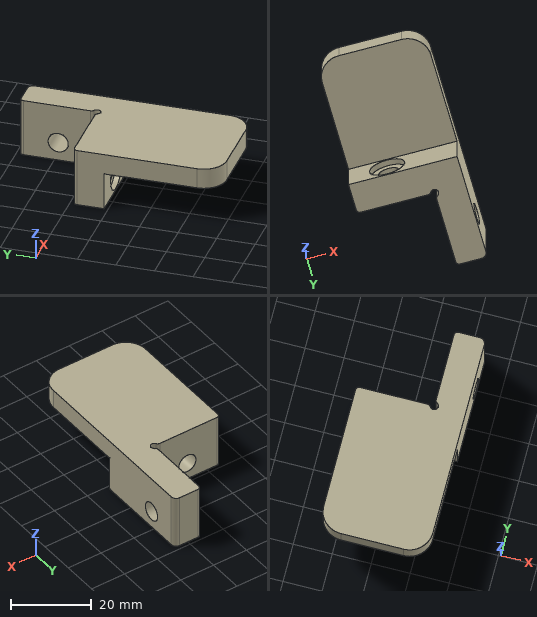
import cadquery as cq

width = 28.0
length = 58.0
height = 15.5

plate_thickness = 5.5
arm_width = 8.0
arm_length = 20.0
block_thickness = 8.0

front_radius = 6.0
small_radius = 1.0
arm_outer_radius = 1.5
relief_radius = 1.0

hole_diameter = 5.2
hole_height = 5.0
hole_offset = 10.0
counterbore_diameter = 9.0
counterbore_depth = 1.5

shoulder_y = length - arm_length
block_front_y = shoulder_y - block_thickness
arm_x = width - arm_width


def vertical_edge(x, y):
    """Selector for the vertical edge passing through (x, y)."""
    reach = relief_radius / 10
    return cq.selectors.BoxSelector(
        (x - reach, y - reach, 0), (x + reach, y + reach, height), boundingbox=False
    )


def make_profile():
    """Full-height L outline with rounded corners and a relieved inner corner."""
    body = (
        cq.Workplane("XY")
        .polyline([
            (0, 0),
            (width, 0),
            (width, length),
            (arm_x, length),
            (arm_x, shoulder_y),
            (0, shoulder_y),
        ])
        .close()
        .extrude(height)
    )
    relief = cq.Workplane("XY").center(arm_x, shoulder_y).circle(relief_radius).extrude(height)
    body = body.cut(relief)

    corners = [
        (0, 0, front_radius),
        (width, 0, front_radius),
        (width, length, arm_outer_radius),
        (arm_x, length, small_radius),
        (0, shoulder_y, small_radius),
        (arm_x, shoulder_y + relief_radius, small_radius),
        (arm_x - relief_radius, shoulder_y, small_radius),
    ]
    for x, y, radius in corners:
        body = body.edges(vertical_edge(x, y)).fillet(radius)
    return body


def make_underside_cut():
    """Space below the plate, in front of the block."""
    return cq.Workplane("XY").box(
        width, block_front_y, height - plate_thickness, centered=False
    )


def make_block_hole():
    """Counterbored hole along Y through the block."""
    face = cq.Workplane("XZ", origin=(hole_offset, block_front_y, hole_height))
    through = face.circle(hole_diameter / 2).extrude(-block_thickness)
    counterbore = face.circle(counterbore_diameter / 2).extrude(-counterbore_depth)
    return through.union(counterbore)


def make_arm_hole():
    """Plain hole along X through the arm."""
    face = cq.Workplane("YZ", origin=(arm_x, length - hole_offset, hole_height))
    return face.circle(hole_diameter / 2).extrude(arm_width)


result = (
    make_profile()
    .cut(make_underside_cut())
    .cut(make_block_hole())
    .cut(make_arm_hole())
)